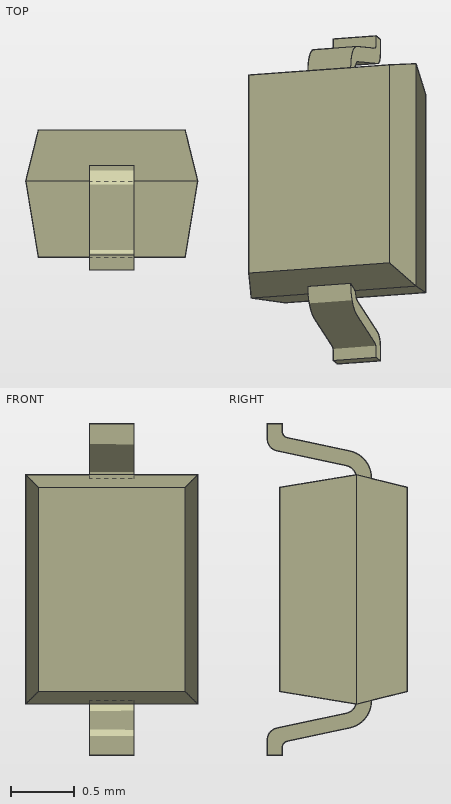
import cadquery as cq
import math

body_width = 1.35
body_height = 1.8
back_depth = 0.4
front_depth = 0.6
face_inset = 0.1

lead_tip_z = 1.3
lead_width = 0.35
lead_thickness = 0.12
lead_embed = 0.155
foot_standoff = 0.1
foot_length = 0.101
slope_angle = math.radians(12)
shoulder_inner_radius = 0.1
shoulder_outer_radius = shoulder_inner_radius + lead_thickness
foot_inner_radius = 0.05
foot_outer_radius = 0.1


def body_half(depth):
    """Tapered block from the parting plane to a smaller face at Y = depth."""
    face_plane = cq.Workplane("XZ", origin=(0, depth, 0))
    parting = cq.Workplane("XZ").rect(body_width, body_height).val()
    face = face_plane.rect(body_width - 2 * face_inset, body_height - 2 * face_inset).val()
    return cq.Workplane(cq.Solid.makeLoft([parting, face], True))


def upper_lead():
    """Strip rising from the body, sloping forward, then turning up at the foot."""
    foot_front = -front_depth - foot_standoff
    foot_back = foot_front + lead_thickness
    foot_inner_z = lead_tip_z - foot_length
    slope = math.tan(slope_angle)
    strip_drop = lead_thickness / math.cos(slope_angle)
    root_z = body_height / 2 - lead_embed

    def top_z(y):
        return foot_inner_z - slope * (y - foot_back)

    def underside_z(y):
        return top_z(y) - strip_drop

    shoulder_outer = (lead_thickness, top_z(lead_thickness))
    shoulder_inner = (0, underside_z(0))
    foot_inner = (foot_back, foot_inner_z)
    foot_outer = (foot_front, underside_z(foot_front))
    strip = (
        cq.Workplane("YZ")
        .polyline([
            (0, root_z),
            (lead_thickness, root_z),
            shoulder_outer,
            foot_inner,
            (foot_back, lead_tip_z),
            (foot_front, lead_tip_z),
            foot_outer,
            shoulder_inner,
        ])
        .close()
        .extrude(lead_width / 2, both=True)
    )
    bends = [
        (shoulder_outer, shoulder_outer_radius),
        (shoulder_inner, shoulder_inner_radius),
        (foot_inner, foot_inner_radius),
        (foot_outer, foot_outer_radius),
    ]
    for (y, z), radius in bends:
        strip = strip.edges(cq.NearestToPointSelector((0, y, z))).fillet(radius)
    return strip


lead = upper_lead()
body = body_half(back_depth).union(body_half(-front_depth))
result = body.union(lead).union(lead.mirror("XY"))